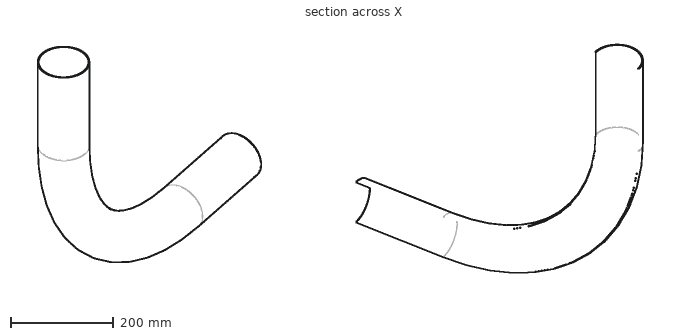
import cadquery as cq

overall_size = 660.5
inner_diameter = 97.0

leg_diameters = 2
bend_diameters = 4
outer_diameter = overall_size / (leg_diameters + bend_diameters + 0.5)
leg_length = leg_diameters * outer_diameter
bend_radius = bend_diameters * outer_diameter


def bent_rod(diameter):
    """Solid round bar: upright leg, 90 degree bend, then a leg along +Y."""
    upright_leg = cq.Workplane("XY").circle(diameter / 2).extrude(leg_length)
    bend = (
        cq.Workplane("XY")
        .circle(diameter / 2)
        .revolve(90, (0, bend_radius, 0), (1, bend_radius, 0))
    )
    level_leg = (
        cq.Workplane("XZ", origin=(0, bend_radius, -bend_radius))
        .circle(diameter / 2)
        .extrude(-leg_length)
    )
    return upright_leg.union(bend).union(level_leg)


result = bent_rod(outer_diameter).cut(bent_rod(inner_diameter))